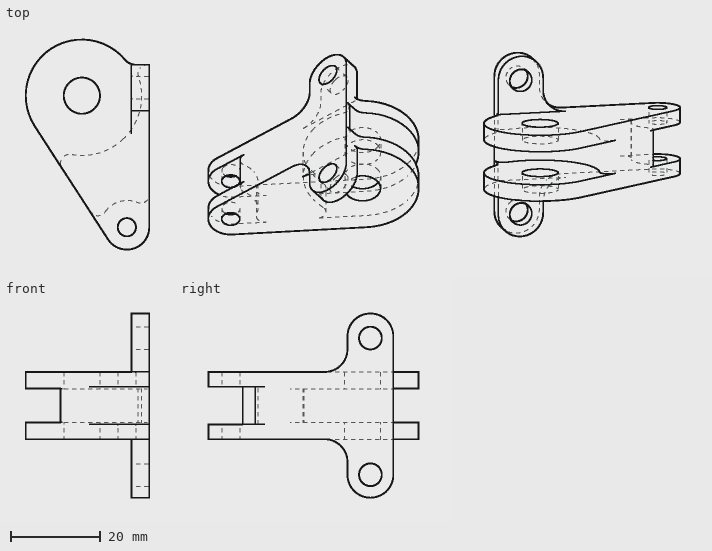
import cadquery as cq
import math

body_height = 15.0
big_eye_radius = 12.5
big_bore_diameter = 8.0
small_eye_radius = 5.0
small_bore_diameter = 4.0
small_eye_x = 10.0
small_eye_y = -29.24
straight_side_x = small_eye_x + small_eye_radius
shoulder_y = 6.9
shoulder_blend_radius = 3.0

big_slot_height = 7.5
small_slot_height = 8.3
big_eye_clearance = 0.75
small_eye_clearance = 1.0
web_corner_radius = 2.0
slot_divide_y = -20.0

lug_thickness = 4.0
lug_tip_z = 20.5
lug_radius = 5.125
lug_bore_diameter = 5.0
lug_foot_radius = 5.0
lug_y = shoulder_y - lug_radius
lug_z = lug_tip_z - lug_radius
upper_lug_bore_z = 15.0
lower_lug_bore_z = -lug_z

eye_spacing = math.hypot(small_eye_x, small_eye_y)
normal_angle = math.atan2(small_eye_y, small_eye_x) - math.acos(
    (big_eye_radius - small_eye_radius) / eye_spacing
)
normal_x = math.cos(normal_angle)
normal_y = math.sin(normal_angle)
big_tangent = (big_eye_radius * normal_x, big_eye_radius * normal_y)
small_tangent = (
    small_eye_x + small_eye_radius * normal_x,
    small_eye_y + small_eye_radius * normal_y,
)


def mid_plane(height):
    """XY workplane from which an extrusion of this height is centred on Z = 0."""
    return cq.Workplane("XY").workplane(offset=-height / 2)


def make_bore(x, y, diameter):
    """Vertical bore through the full body height."""
    return mid_plane(body_height).center(x, y).circle(diameter / 2).extrude(body_height)


def make_body():
    """Full-height block with the outline of the plates."""
    blend_y = shoulder_y + shoulder_blend_radius
    blend_reach = big_eye_radius + shoulder_blend_radius
    blend_x = math.sqrt(blend_reach**2 - blend_y**2)
    eye_share = big_eye_radius / blend_reach
    blend_on_eye = (blend_x * eye_share, blend_y * eye_share)
    return (
        mid_plane(body_height)
        .moveTo(*big_tangent)
        .lineTo(*small_tangent)
        .threePointArc((small_eye_x, small_eye_y - small_eye_radius), (straight_side_x, small_eye_y))
        .lineTo(straight_side_x, shoulder_y)
        .lineTo(blend_x, shoulder_y)
        .radiusArc(blend_on_eye, shoulder_blend_radius)
        .threePointArc((0, big_eye_radius), big_tangent)
        .close()
        .extrude(body_height)
    )


def make_web():
    """Web joining the plates, hollowed around both eyes and rounded at the slot mouths."""
    web = (
        mid_plane(body_height)
        .polyline([
            big_tangent,
            small_tangent,
            (straight_side_x, small_eye_y),
            (straight_side_x, shoulder_y),
            (0, shoulder_y),
        ])
        .close()
        .extrude(body_height)
    )
    big_clearance_diameter = 2 * (big_eye_radius + big_eye_clearance)
    small_clearance_diameter = 2 * (small_eye_radius + small_eye_clearance)
    web = web.cut(make_bore(0, 0, big_clearance_diameter))
    web = web.cut(make_bore(small_eye_x, small_eye_y, small_clearance_diameter))
    return web.edges("|Z and (not (>X and >Y))").fillet(web_corner_radius)


def make_slot(height, y_start, y_end, web):
    """Slot spanning the plates between two Y positions, leaving the web standing."""
    width = 2 * (big_eye_radius + straight_side_x)
    length = y_end - y_start
    slot = cq.Workplane("XY").box(width, length, height).translate((0, (y_start + y_end) / 2, 0))
    return slot.cut(web)


def lug_plane():
    """YZ workplane on the inner (-X) face of the lugs."""
    return cq.Workplane("YZ", origin=(straight_side_x - lug_thickness, 0, 0))


def make_lug():
    """Upper lug without its bore: round-ended tab with a concave foot on its -Y side."""
    face_z = body_height / 2
    inner_y = lug_y - lug_radius
    foot_y = inner_y - lug_foot_radius
    foot_z = face_z + lug_foot_radius
    diagonal = lug_foot_radius * math.sqrt(0.5)
    return (
        lug_plane()
        .moveTo(shoulder_y, face_z)
        .lineTo(shoulder_y, lug_z)
        .threePointArc((lug_y, lug_tip_z), (inner_y, lug_z))
        .lineTo(inner_y, foot_z)
        .threePointArc((foot_y + diagonal, foot_z - diagonal), (foot_y, face_z))
        .close()
        .extrude(lug_thickness)
    )


def make_lug_bore(z):
    """Bore through a lug along X at the given height."""
    return lug_plane().center(lug_y, z).circle(lug_bore_diameter / 2).extrude(lug_thickness)


web = make_web()
big_end_y = big_eye_radius
small_end_y = small_eye_y - small_eye_radius
lug = make_lug()

result = (
    make_body()
    .cut(make_slot(big_slot_height, slot_divide_y, big_end_y, web))
    .cut(make_slot(small_slot_height, small_end_y, slot_divide_y, web))
    .cut(make_bore(0, 0, big_bore_diameter))
    .cut(make_bore(small_eye_x, small_eye_y, small_bore_diameter))
    .union(lug)
    .union(lug.mirror("XY"))
    .cut(make_lug_bore(upper_lug_bore_z))
    .cut(make_lug_bore(lower_lug_bore_z))
)